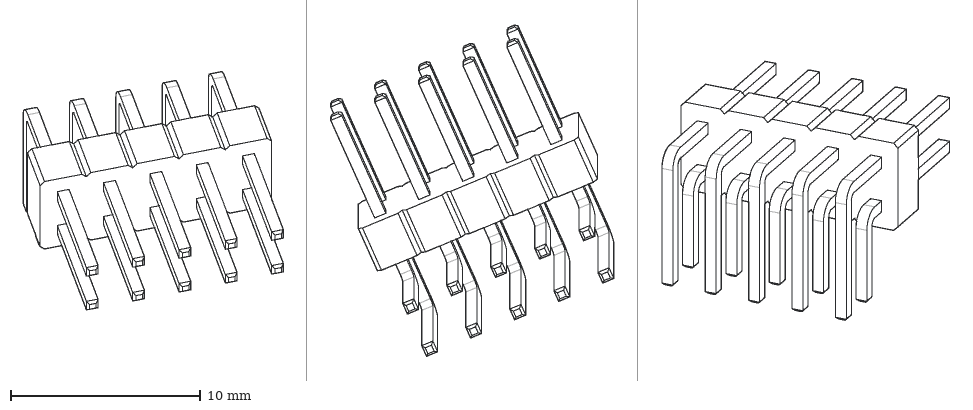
import cadquery as cq


positions = 5
body_length = 12.7
total_height = 8.72
total_depth = 12.9
pin_width = 0.65
pin_reach = 6.0
notch_depth = 0.25
tip_chamfer = 0.14

pitch = body_length / positions
body_width = pitch
body_height = 2 * pitch
half_pin = pin_width / 2
bend_outer_radius = 1.5 * pin_width
bend_inner_radius = bend_outer_radius - pin_width

pin_end_x = body_width / 2 + pin_reach
upper_row_z = pitch / 2
lower_row_z = -pitch / 2
outer_leg_x = pin_end_x - total_depth + half_pin
inner_leg_x = outer_leg_x + pitch
leg_bottom_z = body_height / 2 - total_height

row_ys = [(index - (positions - 1) / 2) * pitch for index in range(positions)]


def make_segment(y):
    """One bar segment, bevelled along its four edges parallel to X."""
    segment = cq.Workplane("XY").box(body_width, pitch, body_height)
    return segment.edges("|X").chamfer(notch_depth).translate((0, y, 0))


def make_pin(leg_x, row_z):
    """Square pin centred on Y = 0: a leg down, a bend and a straight run to +X."""
    outer_x = leg_x - half_pin
    inner_x = leg_x + half_pin
    top_z = row_z + half_pin
    under_z = row_z - half_pin
    bend_x = outer_x + bend_outer_radius
    bend_z = top_z - bend_outer_radius
    pin = (
        cq.Workplane("XZ")
        .moveTo(outer_x, leg_bottom_z)
        .lineTo(outer_x, bend_z)
        .radiusArc((bend_x, top_z), bend_outer_radius)
        .lineTo(pin_end_x, top_z)
        .lineTo(pin_end_x, under_z)
        .lineTo(bend_x, under_z)
        .radiusArc((inner_x, bend_z), -bend_inner_radius)
        .lineTo(inner_x, leg_bottom_z)
        .close()
        .extrude(half_pin, both=True)
    )
    pin = pin.faces(">X").edges().chamfer(tip_chamfer)
    return pin.faces("<Z").edges().chamfer(tip_chamfer)


upper_pin = make_pin(outer_leg_x, upper_row_z)
lower_pin = make_pin(inner_leg_x, lower_row_z)

result = make_segment(row_ys[0])
for y in row_ys[1:]:
    result = result.union(make_segment(y))

for y in row_ys:
    result = result.union(upper_pin.translate((0, y, 0)))
    result = result.union(lower_pin.translate((0, y, 0)))

result = result.clean()